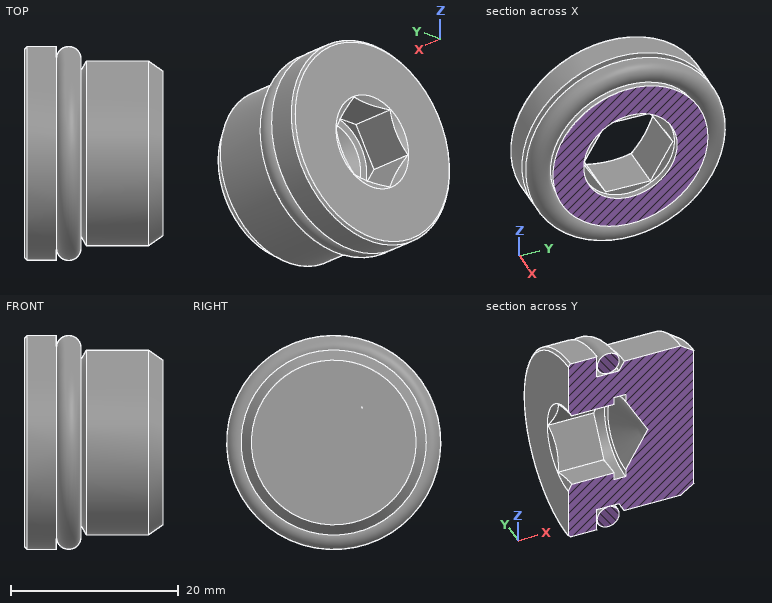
import cadquery as cq
import math


head_diameter = 25.5
head_length = 3.8
head_chamfer = 0.33

neck_diameter = 19.62
seal_section_radius = (head_diameter - neck_diameter) / 4
seal_center_radius = neck_diameter / 2 + seal_section_radius
seal_center_x = head_length + seal_section_radius

shank_diameter = 22.05
total_length = 16.5
tip_chamfer_length = 1.73
shank_start = 7.37
shoulder_angle = 60.0
shank_step = (shank_diameter - neck_diameter) / 2
neck_end = shank_start - shank_step / math.tan(math.radians(shoulder_angle))

hex_width = 10.0
hex_corner_diameter = hex_width / math.cos(math.radians(30))
hex_depth = 6.05
socket_mouth_diameter = 11.7
mouth_angle = 30.0
relief_diameter = 12.0
relief_length = 1.5
drill_diameter = 10.0
drill_point_angle = 120.0


def revolve_about_x(points):
    """Revolve a closed outline of (x, radius) points about the X axis."""
    return cq.Workplane("XY").polyline(points).close().revolve(360, (0, 0, 0), (1, 0, 0))


def cone_along_x(start_x, diameter, slope):
    """Cone with its base at start_x and its point toward +X; slope is measured from the base."""
    radius = diameter / 2
    tip_x = start_x + radius * math.tan(math.radians(slope))
    return revolve_about_x([(start_x, 0), (start_x, radius), (tip_x, 0)])


def make_socket():
    """Hexagon pocket with a countersunk mouth, a round relief at its end and a conical drill point."""
    hexagon = cq.Workplane("YZ").polygon(6, hex_corner_diameter).extrude(hex_depth)
    mouth = cone_along_x(0, socket_mouth_diameter, mouth_angle)
    relief = (
        cq.Workplane("YZ", origin=(hex_depth, 0, 0))
        .circle(relief_diameter / 2)
        .extrude(relief_length)
    )
    drill_point = cone_along_x(hex_depth + relief_length, drill_diameter, 90 - drill_point_angle / 2)
    return hexagon.union(mouth).union(relief).union(drill_point)


def make_plug():
    head_radius = head_diameter / 2
    neck_radius = neck_diameter / 2
    shank_radius = shank_diameter / 2
    body = revolve_about_x([
        (0, 0),
        (0, head_radius - head_chamfer),
        (head_chamfer, head_radius),
        (head_length, head_radius),
        (head_length, neck_radius),
        (neck_end, neck_radius),
        (shank_start, shank_radius),
        (total_length - tip_chamfer_length, shank_radius),
        (total_length, neck_radius),
        (total_length, 0),
    ])
    return body.cut(make_socket())


def make_seal_ring():
    return cq.Workplane("XY").add(
        cq.Solid.makeTorus(
            seal_center_radius,
            seal_section_radius,
            cq.Vector(seal_center_x, 0, 0),
            cq.Vector(1, 0, 0),
        )
    )


plug = make_plug()
seal_ring = make_seal_ring()

result = cq.Compound.makeCompound([plug.val(), seal_ring.val()])